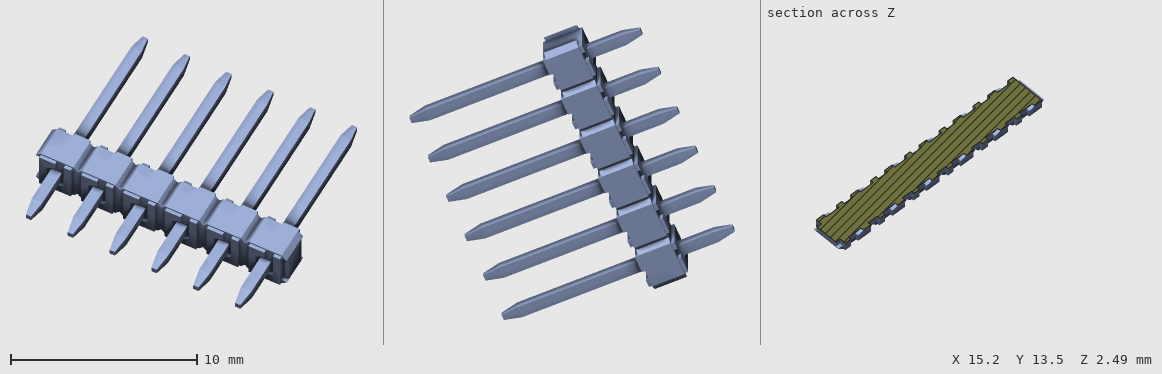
import cadquery as cq
import math


pin_count = 6
pitch = 2.54
row_length = pin_count * pitch

body_height = 2.49
standoff_depth = 2.29
standoff_rise = 0.20
body_depth = standoff_depth - 2 * standoff_rise

groove_half_width = 0.25
groove_depth = 0.27

end_reach = 0.315
end_bevel_drop = 0.27
lip_thickness = 0.315
tongue_inset = 0.2

standoff_width = pitch - 2 * end_reach
standoff_height = 2.31
channel_half_width = 0.53
pin_clearance_radius = 0.70

pin_size = 0.64
tip_size = pin_size / 2
tip_length = 1.0
pin_length = 13.46
front_pin_length = 3.05
pin_front_y = -standoff_depth / 2 - front_pin_length

pin_positions = [(i - (pin_count - 1) / 2) * pitch for i in range(pin_count)]


def box(x_range, y_range, z_range):
    """Box between the given limits on each axis."""
    size = [high - low for low, high in (x_range, y_range, z_range)]
    corner = (x_range[0], y_range[0], z_range[0])
    return cq.Workplane("XY").box(*size, centered=False).translate(corner)


def prism(points, depth):
    """Closed XZ outline extruded symmetrically along Y."""
    return cq.Workplane("XZ").polyline(points).close().extrude(depth / 2, both=True)


def make_body():
    """Bar with bevelled ends, V grooves, a socket at -X and a tongue at +X."""
    half_row = row_length / 2
    half_height = body_height / 2
    end_wall = half_row - end_reach
    bevel_z = half_height - end_bevel_drop
    lip_z = half_height - lip_thickness
    body = prism(
        [
            (-end_wall, half_height),
            (end_wall, half_height),
            (half_row, bevel_z),
            (half_row, -bevel_z),
            (end_wall, -half_height),
            (-end_wall, -half_height),
            (-half_row, -bevel_z),
            (-half_row, bevel_z),
        ],
        body_depth,
    )

    for i in range(1, pin_count):
        x = i * pitch - half_row
        for side in (1, -1):
            groove = [
                (x - groove_half_width, side * half_height),
                (x + groove_half_width, side * half_height),
                (x, side * (half_height - groove_depth)),
            ]
            body = body.cut(prism(groove, body_depth))

    face_y = body_depth / 2
    lip_gap = (-lip_z, lip_z)
    body = body.cut(box((-half_row, -end_wall), (-face_y, face_y), lip_gap))

    tongue_y = face_y - tongue_inset
    for y_range in ((-face_y, -tongue_y), (tongue_y, face_y)):
        body = body.cut(box((end_wall, half_row), y_range, lip_gap))
    return body


def make_front_standoffs():
    """Pair of hooked front standoffs for a pin at X = 0, alike under a half turn about Y."""
    edge_x = standoff_width / 2
    edge_z = standoff_height / 2
    arc_end_z = math.sqrt(pin_clearance_radius**2 - channel_half_width**2)
    arc_end_angle = math.atan2(arc_end_z, -channel_half_width)
    arc_mid_angle = (math.pi / 2 + arc_end_angle) / 2
    arc_mid = (
        pin_clearance_radius * math.cos(arc_mid_angle),
        pin_clearance_radius * math.sin(arc_mid_angle),
    )
    left = (
        cq.Workplane("XZ", origin=(0, -body_depth / 2, 0))
        .moveTo(-edge_x, -edge_z)
        .lineTo(-edge_x, edge_z)
        .lineTo(0, edge_z)
        .lineTo(0, pin_clearance_radius)
        .threePointArc(arc_mid, (-channel_half_width, arc_end_z))
        .lineTo(-channel_half_width, -edge_z)
        .close()
        .extrude(standoff_rise)
    )
    right = left.rotate((0, 0, 0), (0, 1, 0), 180)
    return [left, right]


def make_standoffs():
    """Front standoffs and the same pair turned about Z onto the rear face."""
    front = make_front_standoffs()
    rear = [standoff.rotate((0, 0, 0), (0, 0, 1), 180) for standoff in front]
    return front + rear


def make_tip(base_y, outward):
    """Tapered pin end growing from base_y; outward is +1 toward +Y, -1 toward -Y."""
    plane = cq.Plane(origin=(0, base_y, 0), xDir=(1, 0, 0), normal=(0, outward, 0))
    return (
        cq.Workplane(plane)
        .rect(pin_size, pin_size)
        .workplane(offset=tip_length)
        .rect(tip_size, tip_size)
        .loft(ruled=True)
    )


def make_pin():
    """Square pin at X = 0 with a tapered tip at both ends."""
    shank_front = pin_front_y + tip_length
    shank_rear = pin_front_y + pin_length - tip_length
    half = pin_size / 2
    shank = box((-half, half), (shank_front, shank_rear), (-half, half))
    return shank.union(make_tip(shank_front, -1)).union(make_tip(shank_rear, 1))


result = make_body()
pin_parts = make_standoffs() + [make_pin()]
for pin_x in pin_positions:
    for pin_part in pin_parts:
        result = result.union(pin_part.translate((pin_x, 0, 0)))